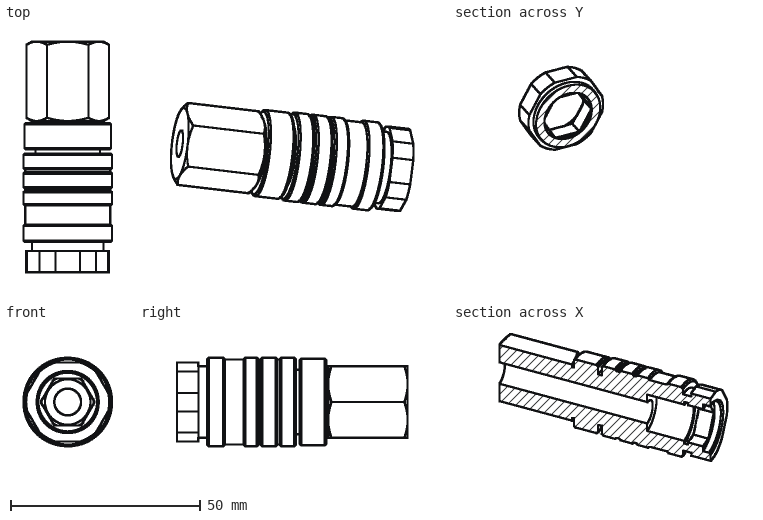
import cadquery as cq
import math

LENGTH = 61.0
HEX_CORNER_RATIO = 1 / math.cos(math.radians(30))
EDGE_CHAMFER = 0.5

FRONT_RING_LENGTH = 5.7
FRONT_RING_DIAMETER = 21.95
FRONT_RING_FLATS = 21.0

FRONT_NECK_DIAMETER = 19.05

SLEEVE_DIAMETER = 23.5
SLEEVE_GROOVE_DIAMETER = SLEEVE_DIAMETER - 2 * EDGE_CHAMFER
SLEEVE_BANDS = [(8.0, 12.7), (17.6, 21.6), (22.15, 26.55), (27.15, 31.5)]
SLEEVE_START = SLEEVE_BANDS[0][0]
SLEEVE_END = SLEEVE_BANDS[-1][1]

COLLAR_DIAMETER = 23.0
COLLAR_START = 32.45
COLLAR_END = 39.5

CORE_DIAMETER = 17.1

REAR_HEX_START = 40.0
REAR_HEX_FLATS = 19.0
REAR_HEX_CONE_ANGLE = math.radians(30)

MOUTH_DIAMETER = 15.5
MOUTH_DEPTH = 2.25
HEX_SOCKET_FLATS = 12.3
HEX_SOCKET_END = 6.6
RELIEF_DIAMETER = 13.8
RELIEF_END = 7.6
CHAMBER_DIAMETER = 12.0
CHAMBER_END = 18.3
BORE_DIAMETER = 7.0


def section_at(y):
    """Sketch plane square to the axis at y, with extrusion going toward +Y."""
    return cq.Workplane(cq.Plane(origin=(0, y, 0), xDir=(1, 0, 0), normal=(0, 1, 0)))


def cylinder(diameter, start, end):
    return section_at(start).circle(diameter / 2).extrude(end - start)


def hexagon(across_flats, start, end):
    """Hexagonal prism with two corners on the X axis."""
    return section_at(start).polygon(6, across_flats * HEX_CORNER_RATIO).extrude(end - start)


def chamfered_band(diameter, start, end):
    return cylinder(diameter, start, end).edges().chamfer(EDGE_CHAMFER)


def front_ring():
    blank = cylinder(FRONT_RING_DIAMETER, 0, FRONT_RING_LENGTH)
    return blank.intersect(hexagon(FRONT_RING_FLATS, 0, FRONT_RING_LENGTH))


def sleeve():
    body = cylinder(SLEEVE_GROOVE_DIAMETER, SLEEVE_START, SLEEVE_END)
    for start, end in SLEEVE_BANDS:
        body = body.union(chamfered_band(SLEEVE_DIAMETER, start, end))
    return body


def rear_hex():
    flat_radius = REAR_HEX_FLATS / 2
    corner_radius = flat_radius * HEX_CORNER_RATIO
    cone_length = (corner_radius - flat_radius) * math.tan(REAR_HEX_CONE_ANGLE)
    envelope = (
        cq.Workplane("XY")
        .moveTo(0, REAR_HEX_START)
        .lineTo(flat_radius, REAR_HEX_START)
        .lineTo(corner_radius, REAR_HEX_START + cone_length)
        .lineTo(corner_radius, LENGTH - cone_length)
        .lineTo(flat_radius, LENGTH)
        .lineTo(0, LENGTH)
        .close()
        .revolve(360, (0, 0, 0), (0, 1, 0))
    )
    return hexagon(REAR_HEX_FLATS, REAR_HEX_START, LENGTH).intersect(envelope)


def socket():
    mouth = cylinder(MOUTH_DIAMETER, 0, MOUTH_DEPTH)
    entry_radius = MOUTH_DIAMETER / 2 + EDGE_CHAMFER
    entry = section_at(0).circle(entry_radius).extrude(entry_radius, taper=45)
    hex_socket = hexagon(HEX_SOCKET_FLATS, MOUTH_DEPTH, HEX_SOCKET_END)
    relief = cylinder(RELIEF_DIAMETER, HEX_SOCKET_END, RELIEF_END)
    chamber = cylinder(CHAMBER_DIAMETER, RELIEF_END, CHAMBER_END)
    bore = cylinder(BORE_DIAMETER, 0, LENGTH)
    return mouth.union(entry).union(hex_socket).union(relief).union(chamber).union(bore)


body = (
    front_ring()
    .union(cylinder(FRONT_NECK_DIAMETER, FRONT_RING_LENGTH, SLEEVE_START))
    .union(sleeve())
    .union(cylinder(CORE_DIAMETER, SLEEVE_END, REAR_HEX_START))
    .union(chamfered_band(COLLAR_DIAMETER, COLLAR_START, COLLAR_END))
    .union(rear_hex())
)
result = body.cut(socket())